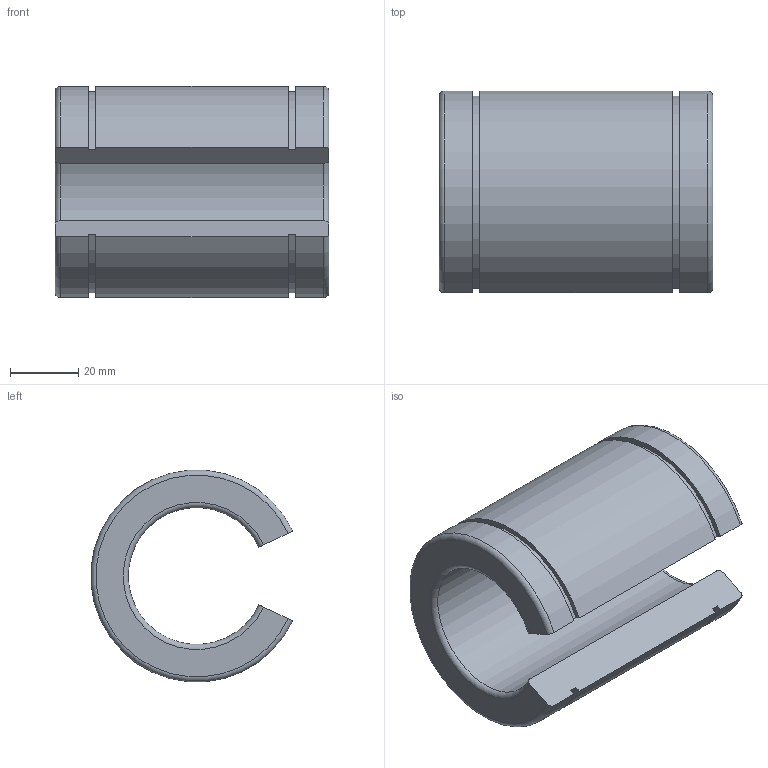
import cadquery as cq
import math

length = 80.0
outer_radius = 31.0
bore_radius = 20.0
edge_fillet = 1.5

groove_span = 60.6
groove_width = 2.15
groove_radius = 29.5

opening_angle = 50.0

cut_clearance = 5.0


def make_ring(outer, inner, width, center_x):
    """Plain ring around the X axis, centered at center_x."""
    return (
        cq.Workplane("YZ", origin=(center_x - width / 2, 0, 0))
        .circle(outer)
        .circle(inner)
        .extrude(width)
    )


def make_sleeve():
    """Sleeve with rounded outer and bore edges at both ends."""
    sleeve = make_ring(outer_radius, bore_radius, length, 0)
    return sleeve.faces("<X or >X").edges().fillet(edge_fillet)


def cut_grooves(body):
    """Cut one retaining ring groove near each end."""
    groove_offset = (groove_span - groove_width) / 2
    cutter_radius = outer_radius + cut_clearance
    for center_x in (-groove_offset, groove_offset):
        body = body.cut(make_ring(cutter_radius, groove_radius, groove_width, center_x))
    return body


def cut_opening(body):
    """Cut the full-length wedge whose tip lies on the sleeve axis."""
    reach = outer_radius + cut_clearance
    half_height = reach * math.tan(math.radians(opening_angle / 2))
    wedge = (
        cq.Workplane("YZ", origin=(-length / 2, 0, 0))
        .polyline([(0, 0), (-reach, -half_height), (-reach, half_height)])
        .close()
        .extrude(length)
    )
    return body.cut(wedge)


sleeve = make_sleeve()
grooved_sleeve = cut_grooves(sleeve)
result = cut_opening(grooved_sleeve)